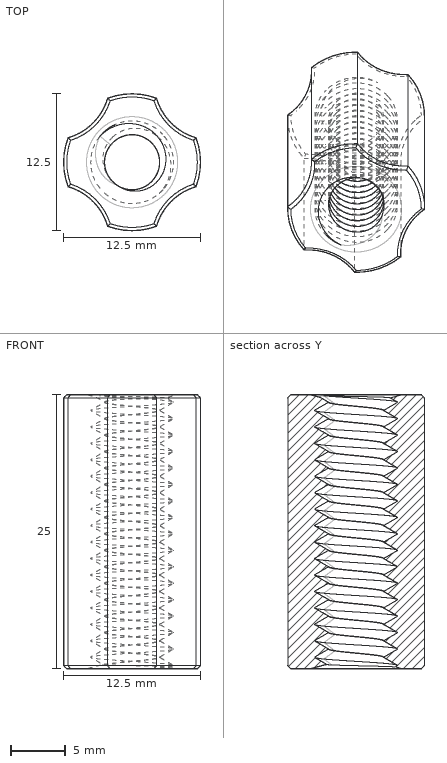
import cadquery as cq
import math

length = 25.0
outer_radius = 6.25
edge_chamfer = 0.3

scallop_count = 4
scallop_radius = 5.25
scallop_floor_radius = 5.05
scallop_center_radius = scallop_floor_radius + scallop_radius
first_scallop_angle = 45.0

lead_in_radius = 4.16
lead_in_slope = math.tan(math.radians(15.0))

bore_radius = 2.5
thread_pitch = 1.5
flank_angle = math.radians(30.0)
mouth_gap = 0.01
bore_overlap = 0.02
groove_mouth_radius = bore_radius - bore_overlap
groove_half_width = (thread_pitch - mouth_gap) / 2
thread_root_radius = groove_mouth_radius + groove_half_width / math.tan(flank_angle)
overrun_turns = 1

runout_angle = 141.0
runout_z = length - (lead_in_radius - thread_root_radius) * lead_in_slope


def make_body():
    body = cq.Workplane("XY").circle(outer_radius).extrude(length)
    scallops = (
        cq.Workplane("XY")
        .polarArray(scallop_center_radius, first_scallop_angle, 360, scallop_count)
        .circle(scallop_radius)
        .extrude(length)
    )
    return body.cut(scallops).faces("<Z or >Z").chamfer(edge_chamfer)


def make_lead_in():
    """Solid cone to remove at the top end, pointing down the axis."""
    depth = lead_in_radius * lead_in_slope
    return (
        cq.Workplane("XZ")
        .moveTo(0, length - depth)
        .lineTo(lead_in_radius, length)
        .lineTo(0, length)
        .close()
        .revolve(360, (0, 0, 0), (0, 1, 0))
    )


def make_thread_groove():
    """Helical V groove, overrunning both ends, that leaves the thread ridge behind."""
    turns_to_top = math.ceil(length / thread_pitch) + overrun_turns
    turns = turns_to_top + overrun_turns
    start_z = runout_z - turns_to_top * thread_pitch

    faces = []
    for turn in range(turns):
        root_z = start_z + turn * thread_pitch
        lower_mouth = make_helix_turn(groove_mouth_radius, root_z - groove_half_width)
        root = make_helix_turn(thread_root_radius, root_z)
        upper_mouth = make_helix_turn(groove_mouth_radius, root_z + groove_half_width)
        corners = [lower_mouth, root, upper_mouth]
        if turn == 0:
            faces.append(make_triangle([corner.startPoint() for corner in corners]))
        faces.append(cq.Face.makeRuledSurface(lower_mouth, root))
        faces.append(cq.Face.makeRuledSurface(root, upper_mouth))
        faces.append(cq.Face.makeRuledSurface(upper_mouth, lower_mouth))
    faces.append(make_triangle([corner.endPoint() for corner in corners]))

    groove = cq.Workplane(cq.Solid.makeSolid(cq.Shell.makeShell(faces)))
    return groove.rotate((0, 0, 0), (0, 0, 1), runout_angle)


def make_helix_turn(radius, start_z):
    return cq.Wire.makeHelix(thread_pitch, thread_pitch, radius).translate(cq.Vector(0, 0, start_z))


def make_triangle(points):
    return cq.Face.makeFromWires(cq.Wire.makePolygon(points, close=True))


bore = cq.Workplane("XY").circle(bore_radius).extrude(length)
top_lead_in = make_lead_in()
bottom_lead_in = top_lead_in.mirror("XY", (0, 0, length / 2))

threaded_body = make_body().cut(bore).cut(make_thread_groove())
result = threaded_body.cut(top_lead_in).cut(bottom_lead_in)